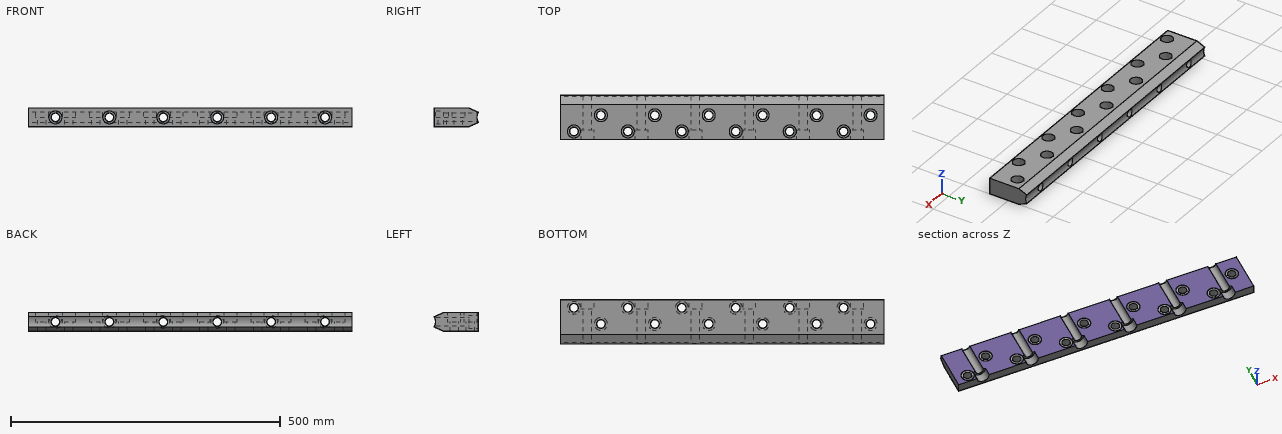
import cadquery as cq

length = 599.5
width = 82.0
height = 35.0

taper_start = 65.0
tip_height = 19.0
hollow_depth = 2.5

holes_per_row = 6
pitch = length / holes_per_row
bore_diameter = 15.5
counterbore_diameter = 24.0
counterbore_depth = 17.5
front_row_y = 15.0
rear_row_y = 45.0
front_row_x = pitch / 4
rear_row_x = 3 * pitch / 4
side_row_x = pitch / 2


def bar():
    """Bar along X, front face on Y = 0, underside on Z = 0."""
    mid = height / 2
    tip_low = mid - tip_height / 2
    tip_high = mid + tip_height / 2
    return (
        cq.Workplane("YZ")
        .moveTo(0, 0)
        .lineTo(taper_start, 0)
        .lineTo(width, tip_low)
        .threePointArc((width - hollow_depth, mid), (width, tip_high))
        .lineTo(taper_start, height)
        .lineTo(0, height)
        .close()
        .extrude(length)
    )


def counterbored_row(plane, first_x, across, through):
    """Cutters for one row of holes entering against the normal of the plane."""
    centres = [(first_x + i * pitch, across) for i in range(holes_per_row)]
    bores = plane.pushPoints(centres).circle(bore_diameter / 2).extrude(-through)
    heads = plane.pushPoints(centres).circle(counterbore_diameter / 2).extrude(-counterbore_depth)
    return bores.union(heads)


top_plane = cq.Workplane("XY", origin=(0, 0, height))
front_plane = cq.Workplane("XZ")

result = (
    bar()
    .cut(counterbored_row(top_plane, front_row_x, front_row_y, height))
    .cut(counterbored_row(top_plane, rear_row_x, rear_row_y, height))
    .cut(counterbored_row(front_plane, side_row_x, height / 2, width))
)